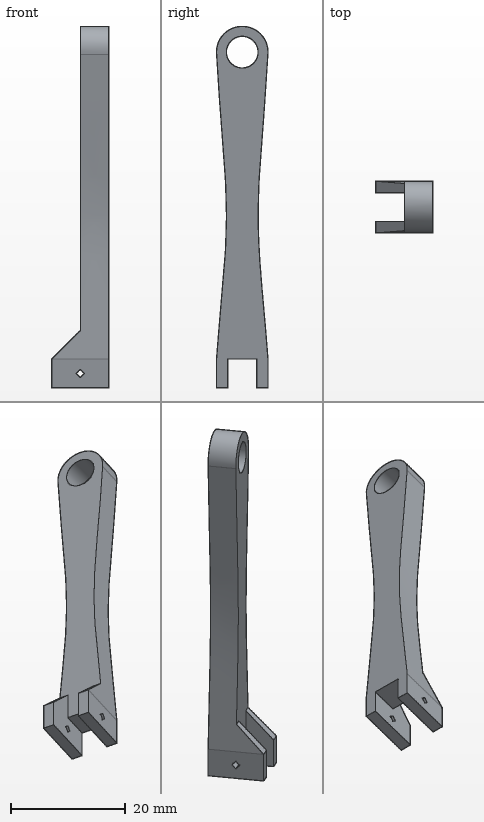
import cadquery as cq
import math

length = 63.05
width = 9.0
depth = 10.0
eye_diameter = 5.5
waist_width = 5.55
waist_height = 28.4
taper_width = 7.3
lower_taper_height = 15.15
upper_taper_height = 46.0
shoulder_drop = 0.4
fork_gap = 5.0
pin_diagonal = 1.4

arm_depth = depth / 2
fork_height = depth / 2
ramp_top = fork_height + depth - arm_depth
half_width = width / 2
eye_height = length - half_width
shoulder_height = eye_height - shoulder_drop
shoulder_half_width = math.sqrt(half_width**2 - shoulder_drop**2)
arm_face = depth - arm_depth


def waisted_body():
    """Outline across Y and Z, extruded along X over the full depth."""
    right_edge = [
        (half_width, fork_height),
        (taper_width / 2, lower_taper_height),
        (waist_width / 2, waist_height),
        (taper_width / 2, upper_taper_height),
        (shoulder_half_width, shoulder_height),
    ]
    left_edge = [(-y, z) for y, z in reversed(right_edge)]
    return (
        cq.Workplane("YZ")
        .moveTo(-half_width, 0)
        .lineTo(half_width, 0)
        .lineTo(*right_edge[0])
        .spline(right_edge[1:], includeCurrent=True)
        .threePointArc((0, length), left_edge[0])
        .spline(left_edge[1:], includeCurrent=True)
        .close()
        .extrude(depth)
    )


def side_profile():
    """Outline across X and Z: deep foot, sloping ramp and thin arm."""
    return (
        cq.Workplane("XZ")
        .polyline([
            (0, 0),
            (depth, 0),
            (depth, length),
            (arm_face, length),
            (arm_face, ramp_top),
            (0, fork_height),
        ])
        .close()
        .extrude(half_width, both=True)
    )


def fork_slot():
    """Gap between the prongs: open below the arm and in front of its face."""
    under_arm = cq.Workplane("XY").box(depth, fork_gap, fork_height, centered=(False, True, False))
    before_arm = cq.Workplane("XY").box(arm_face, fork_gap, ramp_top, centered=(False, True, False))
    return under_arm.union(before_arm)


eye = cq.Workplane("YZ").center(0, eye_height).circle(eye_diameter / 2).extrude(depth)
pin_hole = (
    cq.Workplane("XZ")
    .center(depth / 2, fork_height / 2)
    .polygon(4, pin_diagonal)
    .extrude(half_width, both=True)
)

result = waisted_body().intersect(side_profile()).cut(fork_slot()).cut(eye).cut(pin_hole)